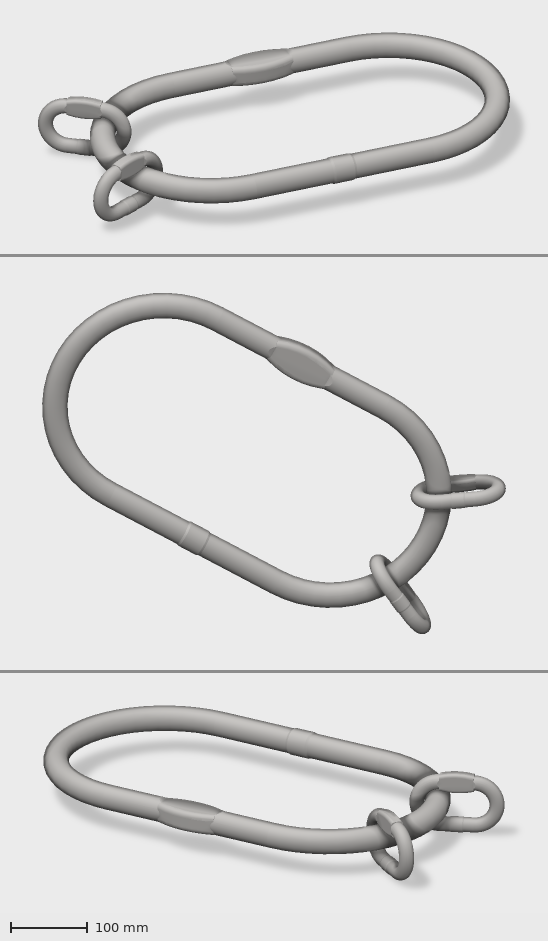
import cadquery as cq

MASTER_WIRE_D = 33.0
MASTER_INNER_WIDTH = 250.0
MASTER_INNER_LENGTH = 500.0
MASTER_COLLAR_D = 35.5
MASTER_COLLAR_LENGTH = 26.5
MASTER_COLLAR_TAPER = 3.0
MASTER_BOSS_LENGTH = 84.5
MASTER_BOSS_WIDTH = 45.5
MASTER_BOSS_END_WIDTH = 30.0
MASTER_BOSS_THICKNESS = 28.0
MASTER_BOSS_FILLET = 7.5
MASTER_FACE_LENGTH = 81.0
MASTER_RAMP_LENGTH = 7.0

SUB_WIRE_D = 19.5
SUB_INNER_WIDTH = 40.0
SUB_INNER_LENGTH = 85.0
SUB_COLLAR_D = 21.0
SUB_COLLAR_LENGTH = 15.5
SUB_COLLAR_TAPER = 2.0
SUB_BOSS_LENGTH = SUB_INNER_LENGTH - SUB_INNER_WIDTH
SUB_BOSS_WIDTH = 27.0
SUB_BOSS_END_WIDTH = 21.5
SUB_BOSS_THICKNESS = 16.5
SUB_BOSS_FILLET = 4.0
SUB_FACE_LENGTH = 43.5
SUB_RAMP_LENGTH = 3.5

SUB_LINK_PLACES = [(-85.0, -268.0, -35), (76.5, -273.0, 25)]


def oval_wire(wire_d, inner_width, inner_length):
    """Closed round-wire oval in the XY plane, long axis along Y."""
    bend_radius = (inner_width + wire_d) / 2
    straight = inner_length - inner_width
    leg = cq.Workplane("XZ").circle(wire_d / 2).extrude(straight / 2, both=True)
    bend = (
        cq.Workplane("XZ")
        .center(bend_radius, 0)
        .circle(wire_d / 2)
        .revolve(180, (-bend_radius, 0, 0), (-bend_radius, 1, 0))
    )
    far_bend = bend.translate((0, straight / 2, 0))
    near_bend = far_bend.rotate((0, 0, 0), (0, 0, 1), 180)
    return (
        leg.translate((-bend_radius, 0, 0))
        .union(far_bend)
        .union(leg.translate((bend_radius, 0, 0)))
        .union(near_bend)
    )


def weld_collar(wire_d, collar_d, length, taper):
    """Thickened sleeve along Y with a short cone at each end."""
    end = length / 2 + taper
    return (
        cq.Workplane("XY")
        .moveTo(0, -end)
        .lineTo(wire_d / 2, -end)
        .lineTo(collar_d / 2, -length / 2)
        .lineTo(collar_d / 2, length / 2)
        .lineTo(wire_d / 2, end)
        .lineTo(0, end)
        .close()
        .revolve(360, (0, 0, 0), (0, 1, 0))
    )


def flat_relief(wire_d, length, thickness, ramp):
    """Material taken off above and below the flat faces, sloping out at both ends."""
    face, crown = thickness / 2, wire_d / 2
    upper = (
        cq.Workplane("YZ")
        .moveTo(-length / 2, face)
        .lineTo(length / 2, face)
        .lineTo(length / 2 + ramp, crown)
        .lineTo(length / 2 + ramp, 2 * crown)
        .lineTo(-length / 2 - ramp, 2 * crown)
        .lineTo(-length / 2 - ramp, crown)
        .close()
        .extrude(wire_d, both=True)
    )
    return upper.union(upper.mirror("XY"))


def forged_boss(length, width, end_width, thickness, fillet):
    """Flat-faced pad with bulging sides, narrowest at its ends."""
    return (
        cq.Workplane("XY")
        .workplane(offset=-thickness / 2)
        .moveTo(-end_width / 2, -length / 2)
        .lineTo(end_width / 2, -length / 2)
        .threePointArc((width / 2, 0), (end_width / 2, length / 2))
        .lineTo(-end_width / 2, length / 2)
        .threePointArc((-width / 2, 0), (-end_width / 2, -length / 2))
        .close()
        .extrude(thickness)
        .edges("%CIRCLE")
        .fillet(fillet)
    )


def forged_link(oval, leg_x, relief, boss, collar):
    """Oval with a flat-faced boss on its -X leg and a weld collar on its +X leg."""
    return (
        oval.cut(relief.translate((-leg_x, 0, 0)))
        .union(boss.translate((-leg_x, 0, 0)))
        .union(collar.translate((leg_x, 0, 0)))
    )


def build_master_link():
    return forged_link(
        oval=oval_wire(MASTER_WIRE_D, MASTER_INNER_WIDTH, MASTER_INNER_LENGTH),
        leg_x=(MASTER_INNER_WIDTH + MASTER_WIRE_D) / 2,
        relief=flat_relief(MASTER_WIRE_D, MASTER_FACE_LENGTH, MASTER_BOSS_THICKNESS, MASTER_RAMP_LENGTH),
        boss=forged_boss(
            MASTER_BOSS_LENGTH,
            MASTER_BOSS_WIDTH,
            MASTER_BOSS_END_WIDTH,
            MASTER_BOSS_THICKNESS,
            MASTER_BOSS_FILLET,
        ),
        collar=weld_collar(MASTER_WIRE_D, MASTER_COLLAR_D, MASTER_COLLAR_LENGTH, MASTER_COLLAR_TAPER),
    )


def build_sub_link(x, y, turn):
    lying = forged_link(
        oval=oval_wire(SUB_WIRE_D, SUB_INNER_WIDTH, SUB_INNER_LENGTH),
        leg_x=(SUB_INNER_WIDTH + SUB_WIRE_D) / 2,
        relief=flat_relief(SUB_WIRE_D, SUB_FACE_LENGTH, SUB_BOSS_THICKNESS, SUB_RAMP_LENGTH),
        boss=forged_boss(
            SUB_BOSS_LENGTH, SUB_BOSS_WIDTH, SUB_BOSS_END_WIDTH, SUB_BOSS_THICKNESS, SUB_BOSS_FILLET
        ),
        collar=weld_collar(SUB_WIRE_D, SUB_COLLAR_D, SUB_COLLAR_LENGTH, SUB_COLLAR_TAPER),
    )
    center_z = (SUB_COLLAR_D - SUB_BOSS_WIDTH) / 4
    return (
        lying.rotate((0, 0, 0), (0, 1, 0), 90)
        .rotate((0, 0, 0), (0, 0, 1), turn)
        .translate((x, y, center_z))
    )


master_link = build_master_link()
sub_links = [build_sub_link(x, y, turn) for x, y, turn in SUB_LINK_PLACES]

result = cq.Compound.makeCompound(
    [*master_link.solids().vals(), *[solid for link in sub_links for solid in link.solids().vals()]]
)